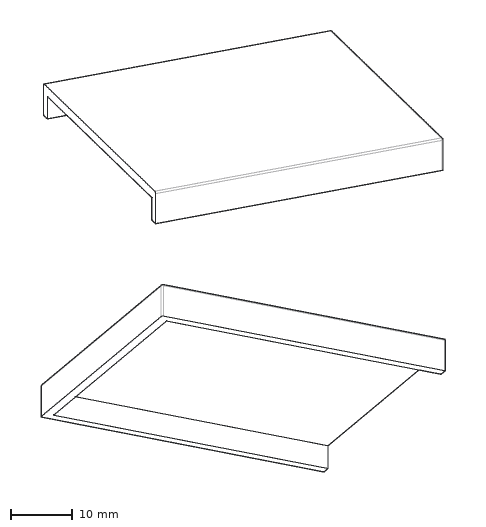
import cadquery as cq

width = 45.75
length = 51.5
height = 5.75

wall = 1.6
top_thickness = 1.7

edge_radius = 0.3

cover = cq.Workplane("XY").box(width, length, height, centered=(True, True, False))

cover = cover.edges("(|Z and >Y) or (>Z and (not <Y))").fillet(edge_radius)

cavity = (
    cq.Workplane("XY")
    .box(width - 2 * wall, length - wall, height - top_thickness, centered=(True, True, False))
    .translate((0, -wall / 2, 0))
)

result = cover.cut(cavity)